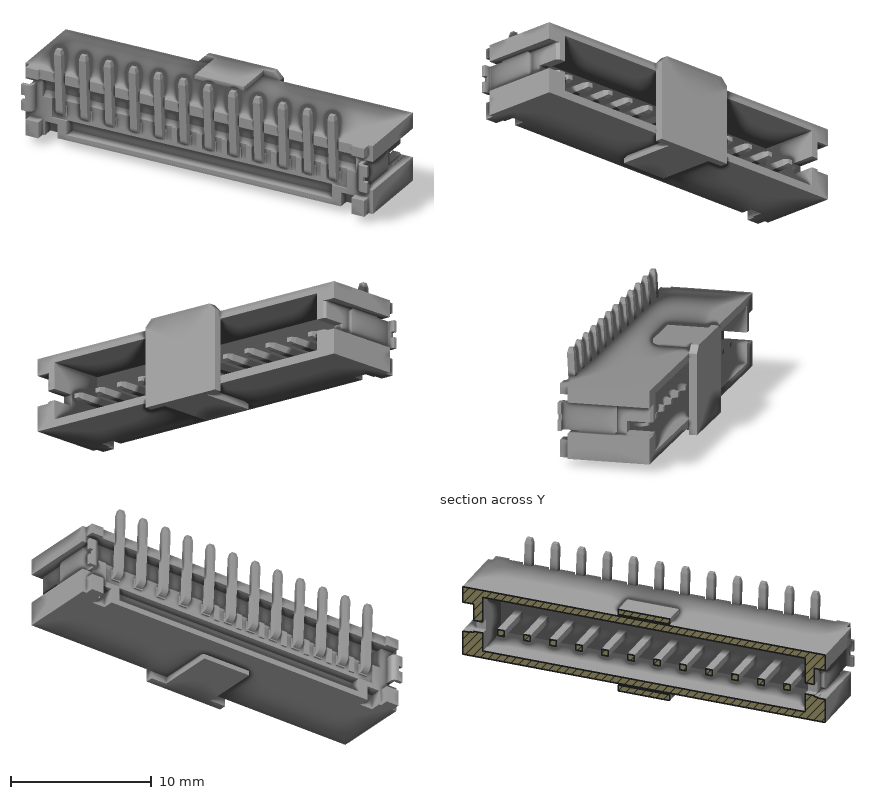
import cadquery as cq

LENGTH = 27.95
HALF = LENGTH / 2
DEPTH = 7.38
Y_FRONT = -DEPTH / 2
Y_REAR = DEPTH / 2
CAP_PLATE = 0.6
Y_MATE = Y_REAR - CAP_PLATE
Y_WALL = -2.9
Z_BOTTOM = 0.6
Z_TOP = 5.98
WALL_BACK = -1.5
CAVITY_HALF = 12.38
CAVITY_Z = (1.17, 5.4)

POST_OUTER = 13.65
POST_INNER = 12.6
Y_POST = -3.58
Y_FLANGE = -3.38
FLANGE_BOTTOM = 5.23
FOOT_TOP = 1.85
NOTCH_HALF_WIDE = 0.46
NOTCH_HALF_NARROW = 0.34
NOTCH_BACK = -3.05
LEDGE_DEPTH = 0.34
LEDGE_FRONT_Z = 3.63
ROW_HALF = 11.88
ROW_BOTTOM = 2.12
ROW_DEPTH = 0.15
TROUGH_HALF = 10.68
TROUGH_BOTTOM = 1.0
TROUGH_DEPTH = 0.85
CORNER_SLOT_X = (11.4, 12.45)
CORNER_SLOT_TOP = 1.7
CORNER_SLOT_DEPTH = 0.85

CHANNEL_FLOOR = 13.1
CHANNEL_LEDGE_TOP = 2.52
CHANNEL_Z = (2.45, 4.72)
LEAD_IN = 0.2
WINDOW_END = 1.23
WINDOW_Z = (2.6, 3.45)

CLIP_THICK = 0.28
CLIP_REAR = 0.55
CLIP_NECK_Y = -2.24
CLIP_NECK_Z = (2.57, 4.65)
CLIP_END = 13.92
CLIP_BEND = 0.35
CLIP_CORNER = 0.22
CLIP_NOTCH_Z = (3.38, 3.8)
CLIP_NOTCH_X = 13.6

PIN_COUNT = 12
PITCH = 2.0
PIN_WIDTH = 0.55
PIN_THICK = 0.5
PIN_BOTTOM = 2.6
PIN_TOP = 8.0
PIN_REAR = 2.3
PIN_LEAN = 0.25
PIN_BEND = 0.55
TAIL_TAPER = 0.4
CONTACT_TAPER = 0.45
TAPER_INSET = 0.08
COLLAR_WIDTH = 0.7
COLLAR_Z = (2.52, 3.3)
COLLAR_HEIGHT = 0.15
RIB_COUNT = 7
RIB_WIDTH = 0.45
RIB_BOTTOM = 2.43
RIB_HEIGHT = 0.15

CAP_HALF = 3.27
CAP_TOP = 6.5
CAP_BEVEL = 0.53
ARM_HALF = 1.98
ARM_GAP = 0.08
UPPER_ARM_END = 0.1
LOWER_ARM_END = -1.4
ARM_BEVEL_LENGTH = 0.4
ARM_BEVEL_HEIGHT = 0.15

pin_xs = [(i - (PIN_COUNT - 1) / 2) * PITCH for i in range(PIN_COUNT)]
rib_xs = [x - PITCH / 2 for x in pin_xs[-RIB_COUNT:]]


def block(x0, x1, y0, y1, z0, z1):
    """Box given by its two limits along each axis."""
    return cq.Workplane("XY").box(x1 - x0, y1 - y0, z1 - z0, centered=False).translate((x0, y0, z0))


def both_sides(shape):
    """The shape together with its mirror image across the middle of the row."""
    return shape.union(shape.mirror("YZ"))


def profile_yz(points, half_width):
    """Prism along X with the given outline in Y and Z."""
    return cq.Workplane("YZ").polyline(points).close().extrude(half_width, both=True)


def make_flange():
    flange = block(-POST_OUTER, POST_OUTER, Y_FLANGE, Y_WALL, FLANGE_BOTTOM, Z_TOP)
    flange = flange.union(
        both_sides(block(POST_INNER, POST_OUTER, Y_POST, Y_WALL, FLANGE_BOTTOM, Z_TOP))
    )
    for x in pin_xs:
        notch = (
            cq.Workplane("XY")
            .workplane(offset=FLANGE_BOTTOM)
            .polyline([
                (x - NOTCH_HALF_WIDE, Y_FLANGE),
                (x - NOTCH_HALF_NARROW, NOTCH_BACK),
                (x + NOTCH_HALF_NARROW, NOTCH_BACK),
                (x + NOTCH_HALF_WIDE, Y_FLANGE),
            ])
            .close()
            .extrude(Z_TOP - FLANGE_BOTTOM)
        )
        flange = flange.cut(notch)
    return flange


def detail_front_wall(body):
    row_face = Y_WALL + ROW_DEPTH
    ledge_back = row_face + LEDGE_DEPTH
    ledge = profile_yz(
        [
            (Y_WALL, LEDGE_FRONT_Z),
            (row_face, LEDGE_FRONT_Z),
            (ledge_back, LEDGE_FRONT_Z + LEDGE_DEPTH),
            (ledge_back, FLANGE_BOTTOM),
            (Y_WALL, FLANGE_BOTTOM),
        ],
        POST_INNER,
    )
    body = body.cut(ledge)
    body = body.cut(block(-ROW_HALF, ROW_HALF, Y_WALL, row_face, ROW_BOTTOM, LEDGE_FRONT_Z))
    body = body.cut(
        block(-TROUGH_HALF, TROUGH_HALF, Y_WALL, Y_WALL + TROUGH_DEPTH, TROUGH_BOTTOM, ROW_BOTTOM)
    )
    body = body.cut(both_sides(
        block(*CORNER_SLOT_X, Y_WALL, Y_WALL + CORNER_SLOT_DEPTH, Z_BOTTOM, CORNER_SLOT_TOP)
    ))
    for x in rib_xs:
        body = body.union(block(
            x - RIB_WIDTH / 2, x + RIB_WIDTH / 2,
            row_face - RIB_HEIGHT, row_face,
            RIB_BOTTOM, LEDGE_FRONT_Z,
        ))
    for x in pin_xs:
        body = body.union(block(
            x - COLLAR_WIDTH / 2, x + COLLAR_WIDTH / 2, row_face - COLLAR_HEIGHT, row_face, *COLLAR_Z
        ))
    return body


def cut_side_channels(body):
    channel = block(CHANNEL_FLOOR, HALF, Y_WALL, Y_MATE, *CHANNEL_Z)
    ledge = block(
        CHANNEL_FLOOR, CHANNEL_FLOOR + CLIP_THICK,
        WINDOW_END, Y_MATE - LEAD_IN,
        CHANNEL_Z[0], CHANNEL_LEDGE_TOP,
    )
    lead_in = (
        cq.Workplane("XY")
        .workplane(offset=CHANNEL_Z[0])
        .polyline([
            (CHANNEL_FLOOR, Y_MATE),
            (CHANNEL_FLOOR, Y_MATE - LEAD_IN),
            (CHANNEL_FLOOR - LEAD_IN, Y_MATE),
        ])
        .close()
        .extrude(CHANNEL_Z[1] - CHANNEL_Z[0])
    )
    window = block(CAVITY_HALF, CHANNEL_FLOOR, WINDOW_END, Y_MATE, *WINDOW_Z)
    return body.cut(both_sides(channel.cut(ledge).union(lead_in).union(window)))


def make_housing():
    body = block(-HALF, HALF, Y_WALL, Y_MATE, Z_BOTTOM, Z_TOP)
    body = body.cut(block(-CAVITY_HALF, CAVITY_HALF, WALL_BACK, Y_MATE, *CAVITY_Z))
    body = detail_front_wall(body)
    body = cut_side_channels(body)
    feet = both_sides(block(POST_INNER, POST_OUTER, Y_POST, Y_WALL, Z_BOTTOM, FOOT_TOP))
    return body.union(feet).union(make_flange())


def make_clips():
    """L-shaped plates in the side channels, bent outward in front of the housing."""
    inner = CHANNEL_FLOOR
    flange_back = Y_FRONT + CLIP_THICK
    clip = (
        cq.Workplane("XY")
        .workplane(offset=CHANNEL_Z[0])
        .moveTo(inner, CLIP_REAR)
        .lineTo(inner, Y_FRONT + CLIP_BEND)
        .radiusArc((inner + CLIP_BEND, Y_FRONT), -CLIP_BEND)
        .lineTo(CLIP_END, Y_FRONT)
        .lineTo(CLIP_END, flange_back)
        .lineTo(inner + CLIP_BEND, flange_back)
        .radiusArc((inner + CLIP_THICK, Y_FRONT + CLIP_BEND), CLIP_BEND - CLIP_THICK)
        .lineTo(inner + CLIP_THICK, CLIP_REAR)
        .close()
        .extrude(CHANNEL_Z[1] - CHANNEL_Z[0])
        .edges("|X and >Y")
        .chamfer(CLIP_CORNER)
    )
    clip = clip.cut(block(inner, HALF, Y_FRONT, CLIP_NECK_Y, CHANNEL_Z[0], CLIP_NECK_Z[0]))
    clip = clip.cut(block(inner, HALF, Y_FRONT, CLIP_NECK_Y, CLIP_NECK_Z[1], CHANNEL_Z[1]))
    clip = clip.cut(block(CLIP_NOTCH_X, HALF, Y_FRONT, flange_back, *CLIP_NOTCH_Z))
    return both_sides(clip)


def pin_tip(length):
    """Tapered pin end along +Z, starting from the full pin section."""
    return (
        cq.Workplane("XY")
        .rect(PIN_WIDTH, PIN_THICK)
        .workplane(offset=length)
        .rect(PIN_WIDTH - 2 * TAPER_INSET, PIN_THICK - 2 * TAPER_INSET)
        .loft()
    )


def make_pin():
    """Contact blade along Y, bent up into a tail that leans slightly forward."""
    tail_front = Y_FRONT + PIN_LEAN
    tail_back = tail_front + PIN_THICK
    blade_top = PIN_BOTTOM + PIN_THICK
    blade_end = PIN_REAR - CONTACT_TAPER
    tail_end = PIN_TOP - TAIL_TAPER
    pin = (
        cq.Workplane("YZ")
        .moveTo(blade_end, PIN_BOTTOM)
        .lineTo(tail_front + PIN_BEND, PIN_BOTTOM)
        .radiusArc((tail_front, PIN_BOTTOM + PIN_BEND), PIN_BEND)
        .lineTo(Y_FRONT, tail_end)
        .lineTo(Y_FRONT + PIN_THICK, tail_end)
        .lineTo(tail_back, blade_top)
        .lineTo(blade_end, blade_top)
        .close()
        .extrude(PIN_WIDTH / 2, both=True)
    )
    tail_tip = pin_tip(TAIL_TAPER).translate((0, Y_FRONT + PIN_THICK / 2, tail_end))
    contact_tip = (
        pin_tip(CONTACT_TAPER)
        .rotate((0, 0, 0), (1, 0, 0), -90)
        .translate((0, blade_end, PIN_BOTTOM + PIN_THICK / 2))
    )
    return pin.union(tail_tip).union(contact_tip)


def make_cap():
    """Plate over the mating face with one arm above and one arm below the housing."""
    plate = (
        block(-CAP_HALF, CAP_HALF, Y_MATE, Y_REAR, 0, CAP_TOP)
        .edges("|Y and >Z")
        .chamfer(CAP_BEVEL)
    )
    upper_z = Z_TOP + ARM_GAP
    upper_arm = profile_yz(
        [
            (Y_MATE, upper_z),
            (UPPER_ARM_END + ARM_BEVEL_LENGTH, upper_z),
            (UPPER_ARM_END, upper_z + ARM_BEVEL_HEIGHT),
            (UPPER_ARM_END, CAP_TOP),
            (Y_MATE, CAP_TOP),
        ],
        ARM_HALF,
    )
    lower_z = Z_BOTTOM - ARM_GAP
    lower_arm = profile_yz(
        [
            (Y_MATE, lower_z),
            (LOWER_ARM_END + ARM_BEVEL_LENGTH, lower_z),
            (LOWER_ARM_END, lower_z - ARM_BEVEL_HEIGHT),
            (LOWER_ARM_END, 0),
            (Y_MATE, 0),
        ],
        ARM_HALF,
    )
    return plate.union(upper_arm).union(lower_arm)


result = make_housing().union(make_clips()).union(make_cap())
pin = make_pin()
for x in pin_xs:
    result = result.union(pin.translate((x, 0, 0)))